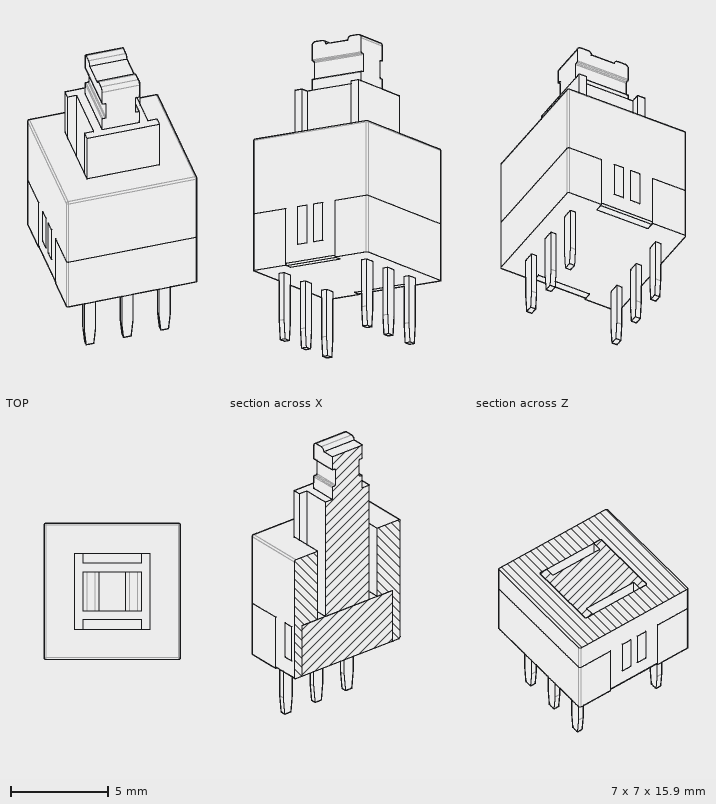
import cadquery as cq
import math

BLOCK_WIDTH = 7.0
BLOCK_HEIGHT = 7.0
BASE_HEIGHT = 3.0
EDGE_RADIUS = 0.1

TAB_WIDTH = 3.02
TAB_THICKNESS = 0.5
TAB_LEAD_IN = 0.1
LUG_WIDTH = 0.55
LUG_HEIGHT = 2.0
LUG_SPACING = 0.97

GUIDE_WIDTH = 3.9
GUIDE_HEIGHT = 2.7
GUIDE_SLOT_DEPTH = 0.5
NECK_WIDTH = 3.0
NECK_DEPTH = 2.0
NECK_HEIGHT = 2.7
GROOVE_HEIGHT = 0.97
GROOVE_DEPTH = 0.2
GROOVE_CORNER_RADIUS = 0.05
GROOVE_BELOW_TOP = 1.0
CREST_WIDTH = 0.83
CREST_HEIGHT = 0.2

PIN_LENGTH = 3.5
PIN_THICKNESS = 0.3
PIN_WIDTH = 0.6
PIN_TIP_WIDTH = 0.41
PIN_TAPER_LENGTH = 1.0
PIN_COLUMN_SPACING = 5.04
PIN_ROW_SPACING = 2.0

BASE_BOTTOM = PIN_LENGTH
BASE_TOP = BASE_BOTTOM + BASE_HEIGHT
BLOCK_TOP = BASE_BOTTOM + BLOCK_HEIGHT
GUIDE_TOP = BLOCK_TOP + GUIDE_HEIGHT
NECK_TOP = GUIDE_TOP + NECK_HEIGHT

FRONT_AND_BACK = (-1, 1)


def box(width, depth, height, x, y, bottom):
    """Box centred on (x, y) that stands on the height `bottom`."""
    return cq.Workplane("XY").box(width, depth, height, (True, True, False)).translate((x, y, bottom))


def wall_box(width, thickness, height, x, side, bottom, outer_width):
    """Box just inside the front (-1) or back (+1) face of a block of depth `outer_width`."""
    return box(width, thickness, height, x, side * (outer_width - thickness) / 2, bottom)


def lugs(side):
    """The two lugs that fill the windows of one snap tab."""
    left, right = (
        wall_box(LUG_WIDTH, TAB_THICKNESS, LUG_HEIGHT, x, side, BASE_TOP - LUG_HEIGHT, BLOCK_WIDTH)
        for x in (-LUG_SPACING / 2, LUG_SPACING / 2)
    )
    return left.add(right)


def tab_blank(side):
    """Space that one snap tab takes up in the wall of the base, windows not yet cut."""
    return wall_box(TAB_WIDTH, TAB_THICKNESS, BASE_HEIGHT, 0, side, BASE_BOTTOM, BLOCK_WIDTH)


def snap_tab(side):
    """Tab with a chamfered lower outer edge and a window for each lug."""
    outer_face = "<Y" if side < 0 else ">Y"
    tab = tab_blank(side).faces(outer_face).edges("<Z").chamfer(TAB_LEAD_IN)
    for lug in lugs(side).vals():
        tab = tab.cut(cq.Workplane(lug))
    return tab


def make_base():
    """Lower block with a recess for each tab and the lugs standing in the recesses."""
    base = box(BLOCK_WIDTH, BLOCK_WIDTH, BASE_HEIGHT, 0, 0, BASE_BOTTOM)
    base = base.edges("|Z").fillet(EDGE_RADIUS)
    for side in FRONT_AND_BACK:
        base = base.cut(tab_blank(side))
        for lug in lugs(side).vals():
            base = base.union(cq.Workplane(lug))
    return base


def make_housing():
    """Upper block with a bore for the plunger and a snap tab hanging down on the front and back."""
    housing = box(BLOCK_WIDTH, BLOCK_WIDTH, BLOCK_HEIGHT - BASE_HEIGHT, 0, 0, BASE_TOP)
    housing = housing.edges("|Z or >Z").fillet(EDGE_RADIUS)
    housing = housing.cut(box(GUIDE_WIDTH, GUIDE_WIDTH, BLOCK_TOP - BASE_TOP, 0, 0, BASE_TOP))
    for side in FRONT_AND_BACK:
        housing = housing.union(snap_tab(side))
    return housing


def crest(side):
    """Ridge along Y on the left or right of the neck top, both upper edges rounded to its full height."""
    outer = NECK_WIDTH / 2
    inner = outer - CREST_WIDTH
    bottom = NECK_TOP - CREST_HEIGHT
    diagonal = CREST_HEIGHT * math.sqrt(0.5)
    profile = (
        cq.Workplane("XZ")
        .moveTo(outer, bottom)
        .threePointArc((outer - CREST_HEIGHT + diagonal, bottom + diagonal), (outer - CREST_HEIGHT, NECK_TOP))
        .lineTo(inner + CREST_HEIGHT, NECK_TOP)
        .threePointArc((inner + CREST_HEIGHT - diagonal, bottom + diagonal), (inner, bottom))
        .close()
    )
    ridge = profile.extrude(NECK_DEPTH / 2, both=True)
    return ridge if side > 0 else ridge.mirror("YZ")


def neck_body():
    """Neck below the crests, with a groove across the front and back whose corners are all rounded."""
    height = NECK_HEIGHT - CREST_HEIGHT
    body = box(NECK_WIDTH, NECK_DEPTH, height, 0, 0, GUIDE_TOP)
    groove_bottom = NECK_TOP - GROOVE_BELOW_TOP - GROOVE_HEIGHT
    for side in FRONT_AND_BACK:
        body = body.cut(wall_box(NECK_WIDTH, GROOVE_DEPTH, GROOVE_HEIGHT, 0, side,
                                 groove_bottom, NECK_DEPTH))
    groove_walls = cq.selectors.BoxSelector(
        (-NECK_WIDTH, -NECK_DEPTH, groove_bottom - GROOVE_CORNER_RADIUS),
        (NECK_WIDTH, NECK_DEPTH, groove_bottom + GROOVE_HEIGHT + GROOVE_CORNER_RADIUS),
    )
    return body.edges("|X").edges(groove_walls).fillet(GROOVE_CORNER_RADIUS)


def make_neck():
    """Grooved neck with two rounded crests on top."""
    return neck_body().union(crest(-1)).union(crest(1))


def make_plunger():
    """Square guide block, slotted on the front and back, that fills the bore and carries the neck."""
    guide_length = GUIDE_TOP - BASE_TOP
    guide = box(GUIDE_WIDTH, GUIDE_WIDTH, guide_length, 0, 0, BASE_TOP)
    for side in FRONT_AND_BACK:
        guide = guide.cut(wall_box(NECK_WIDTH, GUIDE_SLOT_DEPTH, guide_length, 0, side,
                                   BASE_TOP, GUIDE_WIDTH))
    return guide.union(make_neck())


def make_pin(x, y):
    """Flat terminal pin whose lower end tapers along Y."""
    half_width = PIN_WIDTH / 2
    half_tip = PIN_TIP_WIDTH / 2
    outline = [
        (-half_width, PIN_LENGTH),
        (-half_width, PIN_TAPER_LENGTH),
        (-half_tip, 0),
        (half_tip, 0),
        (half_width, PIN_TAPER_LENGTH),
        (half_width, PIN_LENGTH),
    ]
    pin = cq.Workplane("YZ").polyline(outline).close().extrude(PIN_THICKNESS / 2, both=True)
    return pin.translate((x, y, 0))


base = make_base()
housing = make_housing()
plunger = make_plunger()
pins = [
    make_pin(x, y)
    for x in (-PIN_COLUMN_SPACING / 2, PIN_COLUMN_SPACING / 2)
    for y in (-PIN_ROW_SPACING, 0, PIN_ROW_SPACING)
]

result = cq.Compound.makeCompound([base.val(), housing.val(), plunger.val(), *[pin.val() for pin in pins]])